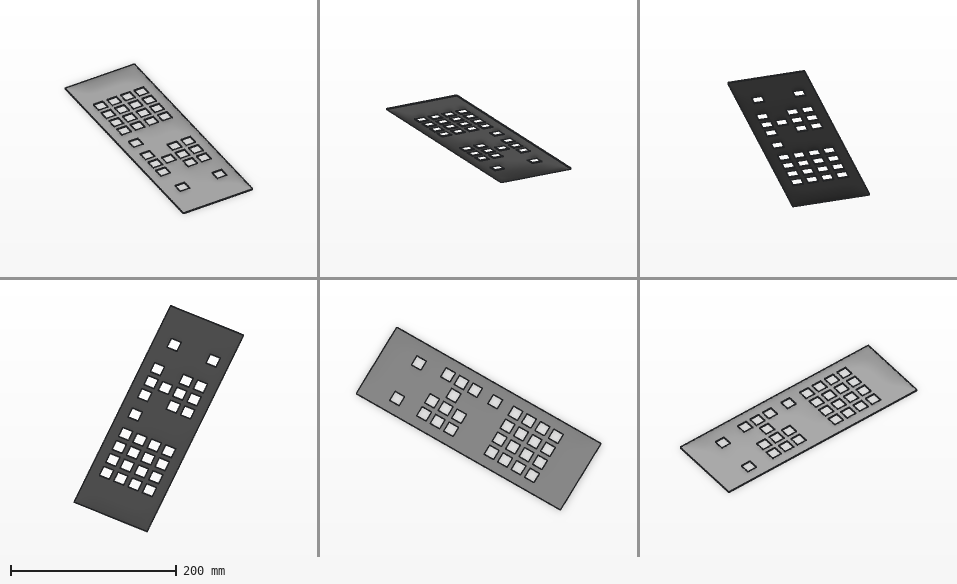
import cadquery as cq

length = 287.0
width = 96.7
thickness = 1.6
corner_radius = 1.0

opening = 13.2
pitch = 19.0
first_column_x = -91.8

left_block = [0, 1, 2, 3]
lone_key_column = 4.5
right_block = [6, 7, 8]
right_block_middle = 7
end_column = 10

rows = [
    left_block + right_block + [end_column],
    left_block + right_block,
    left_block + [right_block_middle],
    left_block + [lone_key_column] + right_block,
]

top_row_y = (len(rows) - 1) * pitch / 2

end_lower_y = -23.2


def column_x(column):
    return first_column_x + column * pitch


def opening_centres():
    centres = [
        (column_x(column), top_row_y - row * pitch)
        for row, columns in enumerate(rows)
        for column in columns
    ]
    centres.append((column_x(end_column), end_lower_y))
    return centres


plate = cq.Workplane("XY").box(length, width, thickness)
plate = plate.edges("|Z and >X").fillet(corner_radius)

cutters = (
    cq.Workplane("XY")
    .pushPoints(opening_centres())
    .rect(opening, opening)
    .extrude(thickness, both=True)
)

result = plate.cut(cutters)